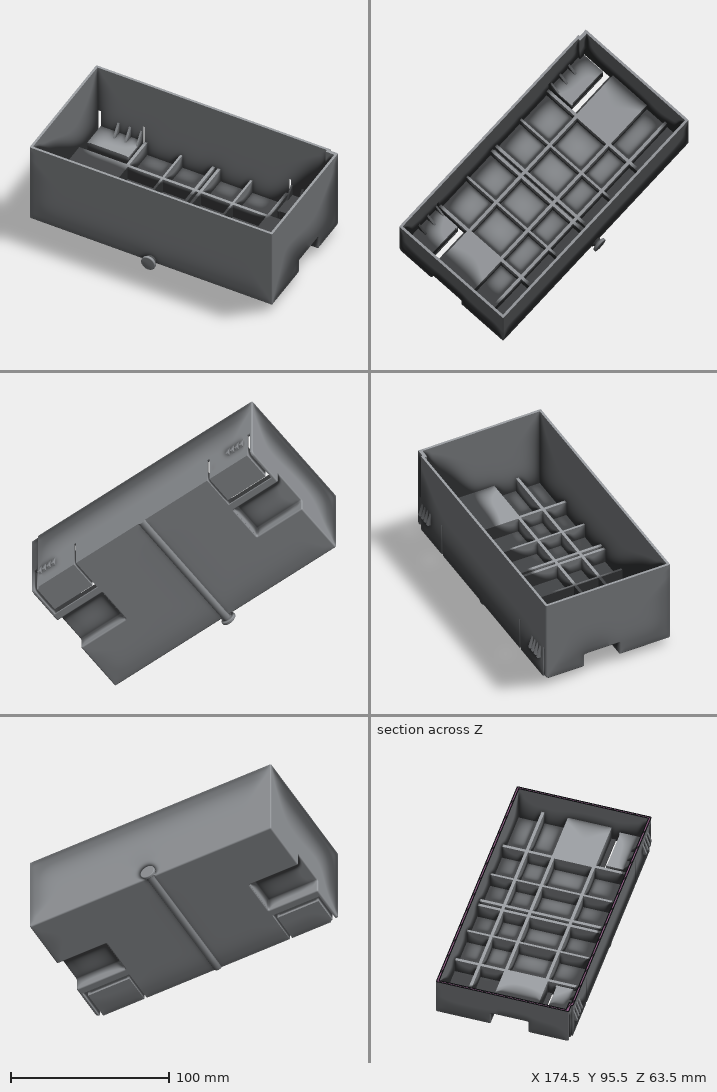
import cadquery as cq

LENGTH = 174.5
DEPTH = 88.9
HEIGHT = 60.0
WALL = 1.65
FLOOR = 1.15
EDGE_FILLET = 1.0
FRONT_CORNER_FILLET = 0.6
BACK_Y = DEPTH - WALL
INNER_X = LENGTH / 2 - WALL

RIB_HEIGHT = 11.5
RIB = 2.0
THIN_RIB = 1.5
CENTRE_RIB_X = 2.0
THIN_RIB_X = 25.2
OUTER_RIB_X = 50.7
FRONT_RIB_Y = 17.8

POCKET_WIDTH = 25.0
POCKET_Y = 48.7
POCKET_ROOF = 9.75
POCKET_CORNER_FILLET = 0.9
POCKET_END_X = OUTER_RIB_X + RIB / 2
POCKET_END_FILLET = 0.8
MOUTH_FILLET = 0.9
PLATFORM_FRONT_Y = POCKET_Y - POCKET_WIDTH / 2 - RIB
PLATFORM_BACK_Y = POCKET_Y + POCKET_WIDTH / 2 + RIB

OPENING_FRONT_Y = 66.0
SLIT_TOP = 24.0
LATCH_INNER_X = 53.5
LATCH_OUTER_X = 83.2
LATCH_FRONT_Y = 69.3
LATCH_HEIGHT = RIB_HEIGHT
LATCH_RIM = 1.5
LATCH_RECESS = 0.5
GUSSET_COUNT = 3
GUSSET_PITCH = 8.25
GUSSET_FIRST_X = 53.9
GUSSET_THICKNESS = 1.5
GUSSET_REACH = 6.4
GUSSET_TOP = 19.7
GUSSET_ROOT = 1.0
HOOK_COUNT = 4
HOOK_PITCH = 3.55
HOOK_CENTRE_X = 74.2
HOOK_WIDTH = 1.5
HOOK_REACH = 2.6
HOOK_BOTTOM = 13.2
HOOK_TOP = 22.2
HOOK_TIP = 0.6

STEP_OUTER_X = 81.6
STEP_INNER_X = 79.4
STEP_OUTER_DROP = 1.1
STEP_INNER_DROP = 1.7

REAR_CORNER_RADIUS = 3.0

ROD_RADIUS = 3.0
ROD_Z = 1.5
ROD_GAP = 2.0
COLLAR_RADIUS = 4.0
COLLAR_LENGTH = 1.0
KNOB_RADIUS = 5.0
KNOB_THICKNESS = 2.0
KNOB_FILLET = 0.5


def block(x0, x1, y0, y1, z0, z1):
    """Axis-aligned box between two opposite corners."""
    return cq.Workplane("XY").box(x1 - x0, y1 - y0, z1 - z0, centered=False).translate((x0, y0, z0))


def both_ends(solid):
    """The solid together with its mirror image about X = 0."""
    return solid.union(solid.mirror("YZ"))


def side_profile(points, x, thickness):
    """Prism with a YZ outline, centred on x."""
    return cq.Workplane("YZ").polyline(points).close().extrude(thickness / 2, both=True).translate((x, 0, 0))


def mouth_selector(side):
    """Selects the outline of the left (-1) or right (1) pocket on the outside of the body."""
    face_x = side * LENGTH / 2
    underside = cq.selectors.BoxSelector(
        (side * OUTER_RIB_X, PLATFORM_FRONT_Y, -EDGE_FILLET / 2),
        (face_x, PLATFORM_BACK_Y, EDGE_FILLET / 2),
    )
    end_face = cq.selectors.BoxSelector(
        (face_x - EDGE_FILLET / 2, PLATFORM_FRONT_Y, 0),
        (face_x + EDGE_FILLET / 2, PLATFORM_BACK_Y, RIB_HEIGHT),
    )
    return underside + end_face


def make_envelope():
    """Solid outer form with rounded edges and the two end pockets."""
    body = block(-LENGTH / 2, LENGTH / 2, 0, DEPTH, 0, HEIGHT)
    body = body.edges(">Y and <Z").fillet(REAR_CORNER_RADIUS)
    body = body.edges("|Z and <Y").fillet(FRONT_CORNER_FILLET)
    body = body.edges("<Y and <Z").fillet(EDGE_FILLET)
    body = body.union(
        block(-LATCH_OUTER_X, LATCH_OUTER_X, DEPTH - REAR_CORNER_RADIUS, DEPTH, 0, REAR_CORNER_RADIUS)
    )
    pocket = block(
        POCKET_END_X, LENGTH, POCKET_Y - POCKET_WIDTH / 2, POCKET_Y + POCKET_WIDTH / 2, -HEIGHT, POCKET_ROOF
    )
    pocket = pocket.edges("|X and >Z").fillet(POCKET_CORNER_FILLET)
    pocket = pocket.faces("<X").edges("not <Z").fillet(POCKET_END_FILLET)
    body = body.cut(both_ends(pocket))
    return body.edges(mouth_selector(-1) + mouth_selector(1)).fillet(MOUTH_FILLET)


def make_cavity():
    """Inside space down to the floor, leaving the end platforms and the back wall offset."""
    cavity = block(-INNER_X, INNER_X, WALL, BACK_Y, FLOOR, HEIGHT)
    cavity = cavity.cut(block(STEP_INNER_X, INNER_X, BACK_Y - STEP_INNER_DROP, BACK_Y, 0, HEIGHT))
    platform = block(OUTER_RIB_X, INNER_X, PLATFORM_FRONT_Y, PLATFORM_BACK_Y, 0, RIB_HEIGHT)
    return cavity.cut(both_ends(platform))


def make_ribs():
    """Grid of ribs dividing the floor into compartments."""
    ribs = cq.Workplane("XY")
    for x, thickness in ((CENTRE_RIB_X, RIB), (THIN_RIB_X, THIN_RIB), (OUTER_RIB_X, RIB)):
        rib = block(x - thickness / 2, x + thickness / 2, WALL / 2, DEPTH - WALL / 2, FLOOR / 2, RIB_HEIGHT)
        ribs = ribs.add(both_ends(rib))
    cross_ribs = (
        (FRONT_RIB_Y, INNER_X),
        (PLATFORM_FRONT_Y + RIB / 2, OUTER_RIB_X),
        (PLATFORM_BACK_Y - RIB / 2, OUTER_RIB_X),
    )
    for y, reach in cross_ribs:
        ribs = ribs.add(block(-reach, reach, y - RIB / 2, y + RIB / 2, FLOOR / 2, RIB_HEIGHT))
    return ribs.combine()


def make_latch_clearance():
    """Floor opening and wall slits around the right-hand latch."""
    opening = block(POCKET_END_X, INNER_X, OPENING_FRONT_Y, BACK_Y, -HEIGHT, FLOOR)
    opening = opening.union(block(POCKET_END_X, LATCH_INNER_X, OPENING_FRONT_Y, LENGTH, -HEIGHT, FLOOR))
    inner_slit = block(POCKET_END_X, LATCH_INNER_X, BACK_Y, DEPTH, -HEIGHT, SLIT_TOP)
    outer_slit = block(LATCH_OUTER_X, INNER_X, BACK_Y - STEP_INNER_DROP, DEPTH, -HEIGHT, SLIT_TOP)
    return opening.union(inner_slit).union(outer_slit)


def make_latch():
    """Right-hand latch: finger block, gussets and outside hooks."""
    latch = block(LATCH_INNER_X, LATCH_OUTER_X, LATCH_FRONT_Y, BACK_Y, 0, LATCH_HEIGHT)
    recess = block(
        LATCH_INNER_X + LATCH_RIM,
        LATCH_OUTER_X - LATCH_RIM,
        LATCH_FRONT_Y,
        LATCH_FRONT_Y + LATCH_RECESS,
        LATCH_RIM,
        LATCH_HEIGHT,
    )
    latch = latch.cut(recess)
    root_y = BACK_Y + WALL / 2
    gusset_outline = (
        (BACK_Y - GUSSET_REACH, LATCH_HEIGHT),
        (BACK_Y, GUSSET_TOP),
        (root_y, GUSSET_TOP),
        (root_y, LATCH_HEIGHT - GUSSET_ROOT),
        (BACK_Y - GUSSET_REACH, LATCH_HEIGHT - GUSSET_ROOT),
    )
    for i in range(GUSSET_COUNT):
        latch = latch.union(side_profile(gusset_outline, GUSSET_FIRST_X + i * GUSSET_PITCH, GUSSET_THICKNESS))
    latch = latch.cut(block(POCKET_END_X, LATCH_INNER_X, 0, LENGTH, 0, HEIGHT))
    tip_y = DEPTH + HOOK_REACH
    hook_outline = (
        (root_y, HOOK_TOP),
        (DEPTH, HOOK_TOP),
        (tip_y, HOOK_BOTTOM + HOOK_TIP),
        (tip_y - HOOK_TIP, HOOK_BOTTOM),
        (root_y, HOOK_BOTTOM),
    )
    for i in range(HOOK_COUNT):
        x = HOOK_CENTRE_X + (i - (HOOK_COUNT - 1) / 2) * HOOK_PITCH
        latch = latch.union(side_profile(hook_outline, x, HOOK_WIDTH))
    return latch


def make_pull():
    """Rod under the floor, tapered collar at the front face and round knob."""
    def cylinder(radius, y0, y1):
        disc = cq.Workplane("XZ").center(0, ROD_Z).circle(radius)
        return disc.extrude(y0 - y1).translate((0, y0, 0))

    rod = cylinder(ROD_RADIUS, -ROD_GAP, DEPTH)
    knob = cylinder(KNOB_RADIUS, -ROD_GAP - KNOB_THICKNESS, -ROD_GAP).edges().fillet(KNOB_FILLET)
    collar = (
        cq.Workplane("XZ").center(0, ROD_Z).circle(COLLAR_RADIUS)
        .workplane(offset=COLLAR_LENGTH).circle(ROD_RADIUS).loft()
    )
    collar = collar.intersect(block(-LENGTH, LENGTH, -DEPTH, DEPTH, 0, HEIGHT))
    return rod.union(collar).union(knob)


body = make_envelope().cut(make_cavity()).union(make_ribs())
body = body.cut(block(STEP_OUTER_X, LENGTH, DEPTH - STEP_OUTER_DROP, LENGTH, -HEIGHT, HEIGHT))
body = body.cut(both_ends(make_latch_clearance()))
result = body.union(both_ends(make_latch())).union(make_pull())